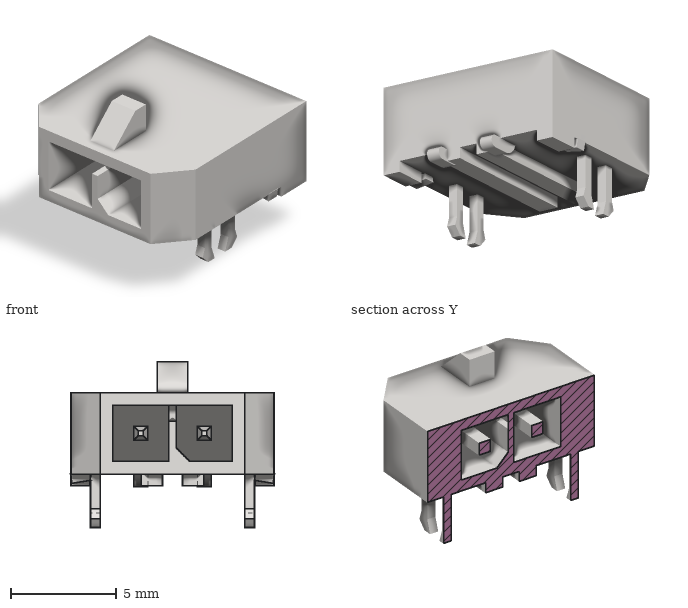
import cadquery as cq
import math


body_width = 9.64
body_depth = 9.9
body_height = 3.88
corner_x = 1.4
corner_y = 1.66

pin_pitch = 3.01
socket_size = 2.67
socket_floor = 0.62
socket_depth = 7.45
key_chamfer = 0.65
notch_height = 0.77
notch_depth = 5.32
socket_top = socket_floor + socket_size
divider_width = pin_pitch - socket_size

latch_width = 1.45
latch_front = 0.54
latch_crest = 2.14
latch_back = 2.92
latch_height = 1.47

pin_width = 0.67
pin_tip_y = 2.66
pin_taper = 0.87
pin_tip_width = 0.22
pin_z = socket_floor + socket_size / 2
tail_end = 10.65
tail_bottom = -0.59
tail_thickness = 0.62
bend_radius = 0.85
bend_center_y = 9.45

standoff_height = 0.54
rail_front = 1.59
rail_inner_x = 0.47
rail_outer_x = 1.48
foot_front = 8.05
foot_width = 0.9

sheet = 0.47
leg_inner_x = body_width / 2 - corner_x
leg_outer_x = leg_inner_x + sheet
leg_center_y = 4.6
leg_gap = 1.25
leg_width = 0.5
leg_bottom = -2.52
barb_z = -2.1
barb_reach = 0.16
outer_bend_z = -1.63
inner_bend_z = -1.82
leg_tip_inner = 0.23
leg_tip_outer = 0.27
tab_front = 7.16
tab_back = 7.79
tab_reach = 0.02
tab_tip_x = body_width / 2 + tab_reach
tab_tip_z = 0.04
tab_slope = 9.0
tab_length = 0.96
embed = 0.21


def block(x, y, z):
    """Box given by its (low, high) range along each axis."""
    size = (x[1] - x[0], y[1] - y[0], z[1] - z[0])
    return cq.Workplane("XY").box(*size, centered=False).translate((x[0], y[0], z[0]))


def side_profile(points, x_low, x_high):
    """Closed (Y, Z) outline extruded from x_low to x_high."""
    sketch = cq.Workplane("YZ", origin=(x_low, 0, 0)).polyline(points).close()
    return sketch.extrude(x_high - x_low)


def make_housing():
    half = body_width / 2
    outline = [
        (-half + corner_x, 0),
        (half - corner_x, 0),
        (half, corner_y),
        (half, body_depth),
        (-half, body_depth),
        (-half, corner_y),
    ]
    return cq.Workplane("XY").polyline(outline).close().extrude(body_height)


def make_sockets():
    half = socket_size / 2
    depth = (0, socket_depth)
    height = (socket_floor, socket_top)
    left = block((-pin_pitch / 2 - half, -pin_pitch / 2 + half), depth, height)
    right = block((pin_pitch / 2 - half, pin_pitch / 2 + half), depth, height)
    key_x = divider_width / 2
    key = (
        cq.Workplane("XZ")
        .polyline([
            (key_x, socket_floor),
            (key_x + key_chamfer, socket_floor),
            (key_x, socket_floor + key_chamfer),
        ])
        .close()
        .extrude(-socket_depth)
    )
    notch = block((-key_x, key_x), (0, notch_depth), (socket_top - notch_height, socket_top))
    return left.union(right.cut(key)).union(notch)


def make_latch():
    outline = [
        (latch_front, body_height),
        (latch_crest, body_height + latch_height),
        (latch_back, body_height + latch_height),
        (latch_back, body_height),
    ]
    return side_profile(outline, -latch_width / 2, latch_width / 2)


def make_pin(x):
    shank_start = pin_tip_y + pin_taper
    tip = (
        cq.Workplane("XZ", origin=(x, pin_tip_y, pin_z))
        .rect(pin_tip_width, pin_tip_width)
        .workplane(offset=-pin_taper)
        .rect(pin_width, pin_width)
        .loft(ruled=True)
    )
    half = pin_width / 2
    shank = block(
        (x - half, x + half),
        (shank_start, socket_depth + embed),
        (pin_z - half, pin_z + half),
    )
    return tip.union(shank)


def make_tail(x):
    """Tail leaving the housing through a downward bend and ending in a half round."""
    front = bend_center_y - bend_radius
    bend_z = tail_bottom + bend_radius
    tail_top = tail_bottom + tail_thickness
    bend_offset = bend_radius * math.cos(math.radians(45))
    return (
        cq.Workplane("YZ", origin=(x - pin_width / 2, 0, 0))
        .moveTo(front, bend_z + embed)
        .lineTo(front, bend_z)
        .threePointArc(
            (bend_center_y - bend_offset, bend_z - bend_offset),
            (bend_center_y, tail_bottom),
        )
        .lineTo(tail_end - tail_thickness / 2, tail_bottom)
        .threePointArc(
            (tail_end, tail_bottom + tail_thickness / 2),
            (tail_end - tail_thickness / 2, tail_top),
        )
        .lineTo(bend_center_y, tail_top)
        .lineTo(bend_center_y, bend_z + embed)
        .close()
        .extrude(pin_width)
    )


def make_standoffs():
    """Rail and rear foot on the +X side."""
    height = (-standoff_height, 0)
    rail = block((rail_inner_x, rail_outer_x), (rail_front, body_depth), height)
    half = body_width / 2
    foot = block((half - foot_width, half), (foot_front, body_depth), height)
    return rail.union(foot)


def make_leg():
    """Rear leg of the +X board lock, with its barb pointing back."""
    inner = leg_center_y + leg_gap / 2
    outer = inner + leg_width
    outline = [
        (inner, embed),
        (outer, embed),
        (outer, outer_bend_z),
        (outer + barb_reach, barb_z),
        (outer - leg_tip_outer, leg_bottom),
        (inner - leg_tip_inner, leg_bottom),
        (inner, inner_bend_z),
    ]
    return side_profile(outline, leg_inner_x, leg_outer_x)


def make_tab():
    """Solder tab of the +X board lock, sloping down towards its tip."""
    tab = block((-tab_length, 0), (tab_front, tab_back), (-sheet, 0))
    tab = tab.rotate((0, 0, 0), (0, 1, 0), tab_slope)
    return tab.translate((tab_tip_x, 0, tab_tip_z))


rear_leg = make_leg()
front_leg = rear_leg.mirror("XZ").translate((0, 2 * leg_center_y, 0))
right_side = make_standoffs().union(rear_leg).union(front_leg).union(make_tab())

result = make_housing().cut(make_sockets()).union(make_latch())
for pin_x in (-pin_pitch / 2, pin_pitch / 2):
    result = result.union(make_pin(pin_x)).union(make_tail(pin_x))
result = result.union(right_side).union(right_side.mirror("YZ"))